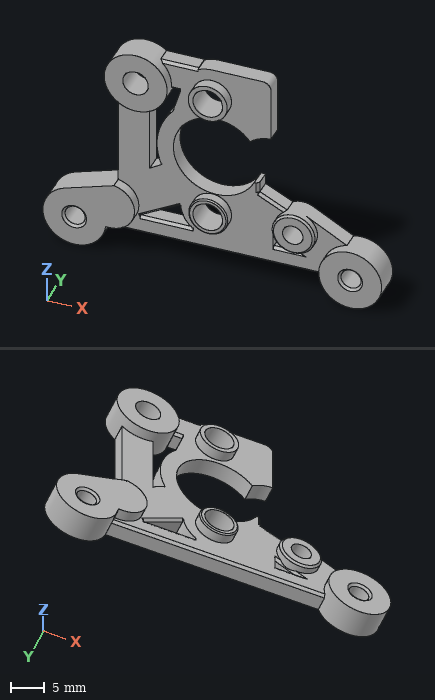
import cadquery as cq
import math


plate_thickness = 2.75
pad_thickness = 4.45
pin_boss_thickness = 4.1

pad_radius = 5.0
left_pad = (0, 0)
right_pad = (43.85, 0)
top_pad = (9.75, 26.7)
top_pad_hole = 4.05
lower_pad_hole = 3.2
hole_chamfer = 0.4
lever_end = (5.65, 3.4)
lever_end_radius = 3.95
lever_top_corner = (6.3, 7.25)

boss_x = 21.2
boss_z = 5.5
lower_boss = (boss_x, boss_z)
upper_boss = (boss_x, 26.0)
pin_boss = (34.6, boss_z)
boss_diameter = 6.2
boss_hole = 4.7
boss_chamfer = 0.2
pin_boss_diameter = 6.8
pin_hole = 3.25
pin_boss_chamfer = 0.3
boss_margin_radius = 5.0

bore_center = (21.85, 15.45)
bore_radius = 6.8
ring_radius = 9.4

bevel = 0.45
rib_half_width = 1.5
post_left = 6.3
post_right = 11.3
top_rib_low = 25.85
top_rib_high = 30.6
block_right = 30.6
block_top = upper_boss[1] + boss_margin_radius
block_corner_radius = 1.35
mouth_upper = (27.35, 19.65)
mouth_arc_middle = (28.8, 20.5)
block_low_right = (block_right, 20.9)
mouth_lower = (27.9, 12.4)
tip = (28.65, 12.4)
tip_base = (28.65, 10.65)
shoulder_end = (33.95, 8.0)
rib_slope = 0.56
rib_angle = math.atan(rib_slope)
pin_boss_radius = pin_boss_diameter / 2
rib_top_start = (
    pin_boss[0] + pin_boss_radius * math.sin(rib_angle),
    pin_boss[1] + pin_boss_radius * math.cos(rib_angle),
)
rib_top_end = (right_pad[0], rib_top_start[1] - rib_slope * (right_pad[0] - rib_top_start[0]))


def on_circle(center, radius, x_offset, side):
    """Point of a circle at an x offset from its center; side is +1 above, -1 below."""
    return (center[0] + x_offset, center[1] + side * math.sqrt(radius**2 - x_offset**2))


ring_start = on_circle(bore_center, ring_radius, -6.9, 1)
ring_end = on_circle(bore_center, ring_radius, -8.65, -1)
ring_left = (bore_center[0] - ring_radius, bore_center[1])
side_window_top = (16.15, top_rib_low)
side_window_bottom = (post_right, 10.6)

brace_tip = (9.75, rib_half_width)
brace_top = (boss_x - boss_margin_radius, 5.05)
brace_arc_middle = on_circle(lower_boss, boss_margin_radius, -4.5, -1)
brace_arc_end = on_circle(lower_boss, boss_margin_radius, -3.0, -1)

small_window_x = 30.9
small_window_height = 2.0


def small_window_outline(growth):
    """Right triangle whose base and sloping side are moved outward by growth."""
    low = rib_half_width - growth
    high = rib_half_width + small_window_height + growth / math.cos(rib_angle)
    return [(small_window_x, low), (small_window_x, high), (small_window_x + (high - low) / rib_slope, low)]


def disc(center, diameter, thickness):
    return cq.Workplane("XZ").center(*center).circle(diameter / 2).extrude(thickness)


def chamfered_disc(center, diameter, thickness, chamfer):
    return disc(center, diameter, thickness).faces("<Y").edges().chamfer(chamfer)


def hole(center, diameter):
    return disc(center, diameter, pad_thickness)


def front_countersink(center, diameter):
    """Cone that breaks the front edge of a pad hole."""
    tip_radius = diameter / 2
    profile = [
        (0, pad_thickness - hole_chamfer),
        (tip_radius, pad_thickness - hole_chamfer),
        (tip_radius + hole_chamfer, pad_thickness),
        (0, pad_thickness),
    ]
    cone = cq.Workplane("XY").polyline([(x, -depth) for x, depth in profile]).close()
    return cone.revolve(360, (0, 0, 0), (0, 1, 0)).translate((center[0], 0, center[1]))


def edge_bevel(start, end):
    """Wedge along a front edge of the plate, with the plate on the left of start -> end."""
    run = cq.Vector(end[0] - start[0], 0, end[1] - start[1])
    inward = cq.Vector(-run.z, 0, run.x).normalized()
    section = cq.Plane((start[0], -plate_thickness, start[1]), inward, inward.cross(cq.Vector(0, -1, 0)))
    wedge = cq.Workplane(section).polyline([(0, -bevel), (bevel, 0), (0, 0)]).close()
    length = run.Length if section.zDir.dot(run) > 0 else -run.Length
    return wedge.extrude(length)


def plate():
    block_arc_start = on_circle(upper_boss, boss_margin_radius, -2.25, 1)
    shoulder_start = (block_arc_start[0], top_rib_high)
    block_arc_middle = on_circle(upper_boss, boss_margin_radius, -1.1, 1)
    corner_shift = block_corner_radius * (1 - math.sqrt(0.5))
    body = (
        cq.Workplane("XZ")
        .moveTo(left_pad[0], -rib_half_width)
        .lineTo(right_pad[0], -rib_half_width)
        .lineTo(*rib_top_end)
        .lineTo(*rib_top_start)
        .lineTo(*shoulder_end)
        .lineTo(*tip_base)
        .lineTo(*tip)
        .lineTo(*mouth_lower)
        .lineTo(*bore_center)
        .lineTo(*mouth_upper)
        .threePointArc(mouth_arc_middle, block_low_right)
        .lineTo(block_right, block_top - block_corner_radius)
        .threePointArc(
            (block_right - corner_shift, block_top - corner_shift),
            (block_right - block_corner_radius, block_top),
        )
        .lineTo(boss_x, block_top)
        .threePointArc(block_arc_middle, block_arc_start)
        .lineTo(*shoulder_start)
        .lineTo(top_pad[0], top_rib_high)
        .lineTo(post_left, top_pad[1])
        .lineTo(post_left, rib_half_width)
        .lineTo(left_pad[0], rib_half_width)
        .close()
        .extrude(plate_thickness)
    )
    side_window = (
        cq.Workplane("XZ")
        .moveTo(post_right, top_rib_low)
        .lineTo(*side_window_top)
        .lineTo(*ring_start)
        .threePointArc(ring_left, ring_end)
        .lineTo(*side_window_bottom)
        .close()
        .extrude(plate_thickness)
    )
    brace_window = (
        cq.Workplane("XZ")
        .moveTo(*brace_tip)
        .lineTo(*brace_top)
        .threePointArc(brace_arc_middle, brace_arc_end)
        .close()
        .extrude(plate_thickness)
    )
    small_window = cq.Workplane("XZ").polyline(small_window_outline(0)).close().extrude(plate_thickness)
    small_window_flare = (
        cq.Workplane("XZ", origin=(0, bevel - plate_thickness, 0))
        .polyline(small_window_outline(0))
        .close()
        .workplane(offset=bevel)
        .polyline(small_window_outline(bevel))
        .close()
        .loft(ruled=True)
    )
    for opening in (side_window, brace_window, small_window, small_window_flare):
        body = body.cut(opening)

    beveled_edges = [
        ((left_pad[0], -rib_half_width), (right_pad[0], -rib_half_width)),
        (shoulder_start, (top_pad[0], top_rib_high)),
        ((post_right, top_rib_low), side_window_top),
        (brace_tip, brace_top),
        (brace_arc_end, brace_tip),
        (shoulder_end, tip_base),
        (tip_base, tip),
    ]
    for start, end in beveled_edges:
        body = body.cut(edge_bevel(start, end))
    return body


def lever():
    """Arm from the left pad to a smaller round end, with a sloping top and a level underside."""
    top_angle = math.atan2(lever_top_corner[1], lever_top_corner[0])
    top_angle += math.acos(pad_radius / math.hypot(*lever_top_corner))
    top_tangent = (pad_radius * math.cos(top_angle), pad_radius * math.sin(top_angle))
    underside = lever_end[1] - lever_end_radius
    return (
        cq.Workplane("XZ")
        .moveTo(*left_pad)
        .lineTo(*top_tangent)
        .lineTo(*lever_top_corner)
        .threePointArc((lever_end[0] + lever_end_radius, lever_end[1]), (lever_end[0], underside))
        .lineTo(left_pad[0], underside)
        .close()
        .extrude(pad_thickness)
    )


result = plate().cut(disc(bore_center, 2 * bore_radius, plate_thickness)).union(lever())
for pad in (left_pad, right_pad, top_pad):
    result = result.union(disc(pad, 2 * pad_radius, pad_thickness))
result = result.union(disc(upper_boss, boss_diameter, pad_thickness))
result = result.union(chamfered_disc(lower_boss, boss_diameter, pad_thickness, boss_chamfer))
result = result.union(chamfered_disc(pin_boss, pin_boss_diameter, pin_boss_thickness, pin_boss_chamfer))

for center, diameter in (
    (left_pad, lower_pad_hole),
    (right_pad, lower_pad_hole),
    (top_pad, top_pad_hole),
    (lower_boss, boss_hole),
    (upper_boss, boss_hole),
    (pin_boss, pin_hole),
):
    result = result.cut(hole(center, diameter))
for pad in (left_pad, right_pad):
    result = result.cut(front_countersink(pad, lower_pad_hole))